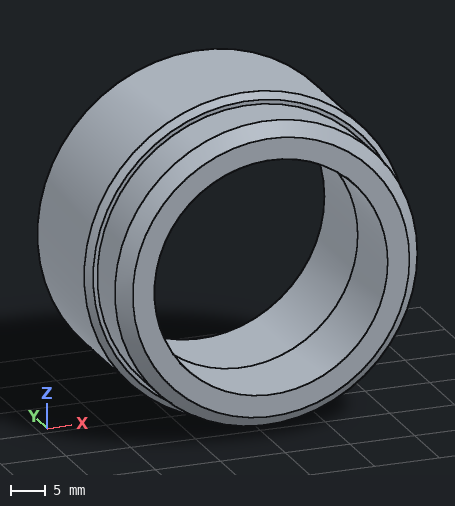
import cadquery as cq

body_diameter = 50.0
body_length = 19.9
body_chamfer = 1.0
spigot_diameter = 46.7
spigot_length = 9.1
spigot_chamfer = 2.0
bore_diameter = 36.0
bore_length = 12.1
rear_bore_diameter = 38.6

total_length = body_length + spigot_length


def cylinder_along_y(diameter, start, length):
    """Solid cylinder on the Y axis, running from y = start towards +Y."""
    plane = cq.Workplane("XZ", origin=(0, start, 0))
    return plane.circle(diameter / 2).extrude(-length)


spigot = cylinder_along_y(spigot_diameter, 0, total_length)
spigot = spigot.faces("<Y").chamfer(spigot_chamfer)

body = cylinder_along_y(body_diameter, spigot_length, body_length)
body = body.faces("<Y").chamfer(body_chamfer)

bore = cylinder_along_y(bore_diameter, 0, total_length)
rear_bore = cylinder_along_y(rear_bore_diameter, bore_length, total_length - bore_length)

result = body.union(spigot).cut(bore).cut(rear_bore)